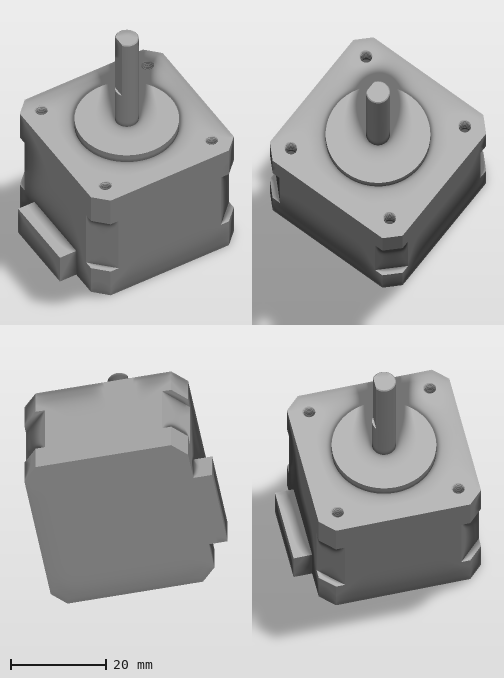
import cadquery as cq
import math

BODY_WIDTH = 35.0
BODY_HEIGHT = 28.0
END_CAP_HEIGHT = 7.0
END_CAP_CHAMFER = 3.0
CORE_CHAMFER = 4.95

PILOT_DIAMETER = 22.0
PILOT_HEIGHT = 2.0
TOTAL_HEIGHT = 54.0
SHAFT_DIAMETER = 5.0
SHAFT_TIP_CHAMFER = 0.2
FLAT_LENGTH = 15.0
FLAT_DEPTH = 0.5

CONNECTOR_WIDTH = 17.0
CONNECTOR_DEPTH = 4.0
CONNECTOR_HEIGHT = END_CAP_HEIGHT

HOLE_SPACING = 26.05
THREAD_MINOR_DIAMETER = 2.55
THREAD_MAJOR_DIAMETER = 3.1
THREAD_PITCH = 0.5
THREAD_TURNS = 8
THREAD_START_ANGLE = 250.0
HOLE_DEPTH = 4.5
DRILL_POINT_ANGLE = 118.0
THREAD_RUNOUT_TURNS = 1
GROOVE_WIDTH = 0.455
GROOVE_OVERLAP = 0.05


def chamfered_layer(bottom, height, chamfer):
    """Square slab with its four upright corners cut at 45 degrees."""
    return (
        cq.Workplane("XY", origin=(0, 0, bottom))
        .rect(BODY_WIDTH, BODY_WIDTH)
        .extrude(height)
        .edges("|Z")
        .chamfer(chamfer)
    )


def motor_body():
    """Two end caps with a more deeply cornered core between them."""
    core_height = BODY_HEIGHT - 2 * END_CAP_HEIGHT
    core_top = BODY_HEIGHT - END_CAP_HEIGHT
    rear_cap = chamfered_layer(0, END_CAP_HEIGHT, END_CAP_CHAMFER)
    core = chamfered_layer(END_CAP_HEIGHT, core_height, CORE_CHAMFER)
    front_cap = chamfered_layer(core_top, END_CAP_HEIGHT, END_CAP_CHAMFER)
    return rear_cap.union(core).union(front_cap)


def pilot():
    """Locating disc centred on the top face."""
    return (
        cq.Workplane("XY", origin=(0, 0, BODY_HEIGHT))
        .circle(PILOT_DIAMETER / 2)
        .extrude(PILOT_HEIGHT)
    )


def shaft():
    """Shaft with a chamfered tip and a drive flat facing -Y."""
    radius = SHAFT_DIAMETER / 2
    rod = (
        cq.Workplane("XY", origin=(0, 0, BODY_HEIGHT))
        .circle(radius)
        .extrude(TOTAL_HEIGHT - BODY_HEIGHT)
        .faces(">Z")
        .chamfer(SHAFT_TIP_CHAMFER)
    )
    flat_cutter = cq.Workplane("XY", origin=(0, -radius, TOTAL_HEIGHT - FLAT_LENGTH)).box(
        SHAFT_DIAMETER, 2 * FLAT_DEPTH, FLAT_LENGTH, centered=(True, True, False)
    )
    return rod.cut(flat_cutter)


def connector():
    """Plug block flush with the underside; its inner half lies inside the body."""
    return cq.Workplane("XY", origin=(0, -BODY_WIDTH / 2, 0)).box(
        CONNECTOR_WIDTH, 2 * CONNECTOR_DEPTH, CONNECTOR_HEIGHT, centered=(True, True, False)
    )


def drilled_bore():
    """Blind bore with a drill point, its mouth at Z = 0."""
    radius = THREAD_MINOR_DIAMETER / 2
    point_depth = radius / math.tan(math.radians(DRILL_POINT_ANGLE / 2))
    return (
        cq.Workplane("XZ")
        .polyline([(0, 0), (radius, 0), (radius, -HOLE_DEPTH), (0, -HOLE_DEPTH - point_depth)])
        .close()
        .revolve(360, (0, 0, 0), (0, 1, 0))
    )


def thread_groove():
    """Helical V groove that runs out through the mouth of the bore at Z = 0."""
    inner_radius = THREAD_MINOR_DIAMETER / 2 - GROOVE_OVERLAP
    outer_radius = THREAD_MAJOR_DIAMETER / 2
    half_width = GROOVE_WIDTH / 2
    start_z = -THREAD_TURNS * THREAD_PITCH
    helix_height = (THREAD_TURNS + THREAD_RUNOUT_TURNS) * THREAD_PITCH
    helix = cq.Wire.makeHelix(
        THREAD_PITCH, helix_height, inner_radius, center=cq.Vector(0, 0, start_z)
    )
    return (
        cq.Workplane("XZ")
        .polyline([
            (inner_radius, start_z - half_width),
            (outer_radius, start_z),
            (inner_radius, start_z + half_width),
        ])
        .close()
        .sweep(cq.Workplane(helix), isFrenet=True)
    )


def turned_to_start(cutter):
    """Cutter turned about its own axis so the thread starts at the chosen angle."""
    return cutter.rotate((0, 0, 0), (0, 0, 1), THREAD_START_ANGLE)


bore = turned_to_start(drilled_bore())
groove = turned_to_start(thread_groove())
result = motor_body().union(pilot()).union(shaft()).union(connector())
for x_side in (-1, 1):
    for y_side in (-1, 1):
        hole_centre = (x_side * HOLE_SPACING / 2, y_side * HOLE_SPACING / 2, BODY_HEIGHT)
        result = result.cut(groove.translate(hole_centre))
        result = result.cut(bore.translate(hole_centre))
result = result.solids()